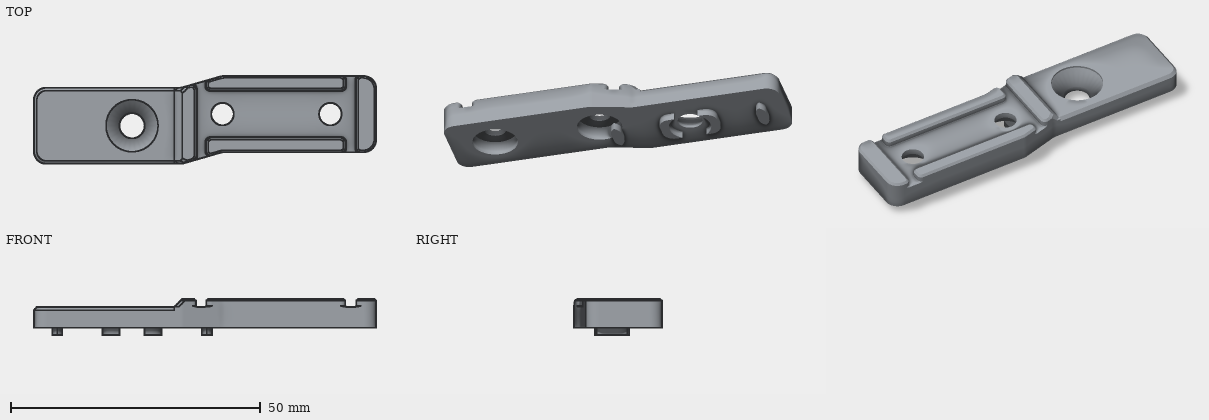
import cadquery as cq
import math

LENGTH = 68.55
END_WIDTH = 15.3
STEP_Y = 2.3
WIDTH = END_WIDTH + STEP_Y
STEP_START_X = 29.6
STEP_END_X = 37.7
CORNER_RADIUS = 2.55

LOW_HEIGHT = 4.2
FULL_HEIGHT = 5.8
RISE = FULL_HEIGHT - LOW_HEIGHT
RAMP_START_X = 28.1
LOW_CHAMFER = 0.6
TOP_CHAMFER = 0.4

RIDGE_END_X = 32.5
RAIL_START_X = 34.5
RAIL_END_X = 62.4
RAIL_WIDTH = 2.9
BAR_START_X = 64.5
ISLAND_RADIUS = 0.95
FOOT_FLARE = 0.2
FLARE_ANGLE = 45
EDGE_TOLERANCE = 0.01

MOUNT_HOLE_DIAMETER = 4.45
MOUNT_HOLE_X = (37.8, 59.35)
MOUNT_HOLE_Y = STEP_Y + END_WIDTH / 2
MOUNT_BORE_DIAMETER = 9.1
MOUNT_SEAT = 1.2
SCREW_X = 19.7
SCREW_Y = END_WIDTH / 2
SCREW_HOLE_DIAMETER = 5.0
SINK_DIAMETER = 10.4
SINK_CONE_DEPTH = 3.2
SINK_EDGE_RADIUS = 0.95
SINK_RECESS = 0.4

LUG_HEIGHT = 1.45
LUG_LENGTH = 11.85
LUG_WIDTH = 6.9
LUG_RADIUS = 2.3
LUG_BORE_DIAMETER = 8.5
KEY_SPACING = 29.95
KEY_THICKNESS = 2.05


def outline_prism(height):
    """Stepped plan outline with all corners rounded, extruded from Z = 0."""
    return (
        cq.Workplane("XY")
        .polyline([
            (0, 0),
            (STEP_START_X, 0),
            (STEP_END_X, STEP_Y),
            (LENGTH, STEP_Y),
            (LENGTH, WIDTH),
            (STEP_END_X, WIDTH),
            (STEP_START_X, END_WIDTH),
            (0, END_WIDTH),
        ])
        .close()
        .extrude(height)
        .edges("|Z")
        .fillet(CORNER_RADIUS)
    )


def profile_prism(points):
    """Side profile of (X, Z) points extruded across the whole plate width."""
    return cq.Workplane("XZ").polyline(points).close().extrude(-WIDTH)


def slab(x_start, x_end, y_start, y_end, height):
    """Axis-aligned block between the given limits, standing on Z = 0."""
    size = (x_end - x_start, y_end - y_start, height)
    return cq.Workplane("XY").box(*size, centered=False).translate((x_start, y_start, 0))


def low_end_and_ridge():
    """Low end, ramp and ridge, chamfered along the low rim, up the ramp and round the ridge."""
    ramp_end_x = RAMP_START_X + RISE
    profile = profile_prism([
        (0, 0),
        (RIDGE_END_X, 0),
        (RIDGE_END_X, FULL_HEIGHT),
        (ramp_end_x, FULL_HEIGHT),
        (RAMP_START_X, LOW_HEIGHT),
        (0, LOW_HEIGHT),
    ])
    block = outline_prism(FULL_HEIGHT).intersect(profile)
    block = block.faces(">X").edges("|Z").fillet(ISLAND_RADIUS)

    def on_low_rim(edge):
        center = edge.Center()
        is_fold = edge.BoundingBox().ylen > END_WIDTH - EDGE_TOLERANCE
        on_top = center.z > LOW_HEIGHT - EDGE_TOLERANCE
        return on_top and center.x < ramp_end_x and not is_fold

    low_rim = [edge for edge in block.edges().vals() if on_low_rim(edge)]
    block = block.newObject(low_rim).chamfer(LOW_CHAMFER)
    return block.faces(">Z").edges("not <X").chamfer(TOP_CHAMFER)


def island(x_start, x_end, y_start, y_end, rounded_edges):
    """Raised block cut to the outline, with rounded corners and a chamfered top."""
    block = slab(x_start, x_end, y_start, y_end, FULL_HEIGHT)
    block = block.intersect(outline_prism(FULL_HEIGHT))
    block = block.edges("|Z").edges(rounded_edges).fillet(ISLAND_RADIUS)
    return block.faces(">Z").edges().chamfer(TOP_CHAMFER)


def flared_foot(block):
    """Small outward flare where a raised block meets the recessed floor."""
    section = block.faces("<Z").wires().val()
    foot = cq.Workplane("XY").add(section).toPending().extrude(-FOOT_FLARE, taper=-FLARE_ANGLE)
    foot = foot.translate((0, 0, LOW_HEIGHT + FOOT_FLARE))
    return foot.intersect(outline_prism(FULL_HEIGHT))


def central_lugs():
    """Two facing lugs: a rounded block parted by a round bore about the screw."""
    block = (
        cq.Workplane("XY")
        .rect(LUG_LENGTH, LUG_WIDTH)
        .extrude(-LUG_HEIGHT)
        .edges("|Z")
        .fillet(LUG_RADIUS)
    )
    bore = cq.Workplane("XY").circle(LUG_BORE_DIAMETER / 2).extrude(-LUG_HEIGHT)
    return block.cut(bore).translate((SCREW_X, SCREW_Y, 0))


def pointed_key(x_center):
    """Slim key with flat sides whose ends are pointed arches."""
    side = KEY_THICKNESS / 2
    flat = LUG_WIDTH / 2 - LUG_RADIUS
    arch_inset = LUG_RADIUS - side

    def arch_y(x):
        return flat + math.sqrt(LUG_RADIUS**2 - (arch_inset + x) ** 2)

    tip = arch_y(0)
    middle = arch_y(side / 2)
    return (
        cq.Workplane("XY")
        .moveTo(side, -flat)
        .lineTo(side, flat)
        .threePointArc((side / 2, middle), (0, tip))
        .threePointArc((-side / 2, middle), (-side, flat))
        .lineTo(-side, -flat)
        .threePointArc((-side / 2, -middle), (0, -tip))
        .threePointArc((side / 2, -middle), (side, -flat))
        .close()
        .extrude(-LUG_HEIGHT)
        .translate((x_center, SCREW_Y, 0))
    )


def mount_hole(x):
    """Through hole with a wide bore from the underside."""
    hole = cq.Workplane("XY").circle(MOUNT_HOLE_DIAMETER / 2).extrude(LOW_HEIGHT)
    bore = cq.Workplane("XY").circle(MOUNT_BORE_DIAMETER / 2).extrude(LOW_HEIGHT - MOUNT_SEAT)
    return hole.union(bore).translate((x, MOUNT_HOLE_Y, 0))


def screw_hole():
    """Through hole under a recessed conical countersink, with a rounded edge below the cone."""
    hole_radius = SCREW_HOLE_DIAMETER / 2
    sink_radius = SINK_DIAMETER / 2
    cone_top = LOW_HEIGHT - SINK_RECESS
    cone_bottom = cone_top - SINK_CONE_DEPTH
    tool = (
        cq.Workplane("XZ")
        .polyline([
            (0, 0),
            (hole_radius, 0),
            (hole_radius, cone_bottom),
            (sink_radius, cone_top),
            (sink_radius, LOW_HEIGHT),
            (0, LOW_HEIGHT),
        ])
        .close()
        .revolve(360, (0, 0, 0), (0, 1, 0))
    )

    def is_cone_rim(edge):
        return edge.geomType() == "CIRCLE" and abs(edge.Center().z - cone_bottom) < EDGE_TOLERANCE

    cone_rim = [edge for edge in tool.edges().vals() if is_cone_rim(edge)]
    return tool.newObject(cone_rim).fillet(SINK_EDGE_RADIUS).translate((SCREW_X, SCREW_Y, 0))


plate = outline_prism(LOW_HEIGHT).intersect(slab(RAMP_START_X, LENGTH, 0, WIDTH, LOW_HEIGHT))
rails = [
    island(RAIL_START_X, RAIL_END_X, 0, STEP_Y + RAIL_WIDTH, "<X or >X"),
    island(RAIL_START_X, RAIL_END_X, WIDTH - RAIL_WIDTH, WIDTH, "<X or >X"),
]
bar = island(BAR_START_X, LENGTH, STEP_Y, WIDTH, "<X")
foot_zone = slab(RIDGE_END_X - ISLAND_RADIUS, LENGTH, 0, WIDTH, FULL_HEIGHT)
for raised in (low_end_and_ridge(), *rails, bar):
    plate = plate.union(raised)
    plate = plate.union(flared_foot(raised).intersect(foot_zone))

for hole_x in MOUNT_HOLE_X:
    plate = plate.cut(mount_hole(hole_x))
plate = plate.cut(screw_hole())

result = plate.union(central_lugs())
for side in (-1, 1):
    result = result.union(pointed_key(SCREW_X + side * KEY_SPACING / 2))